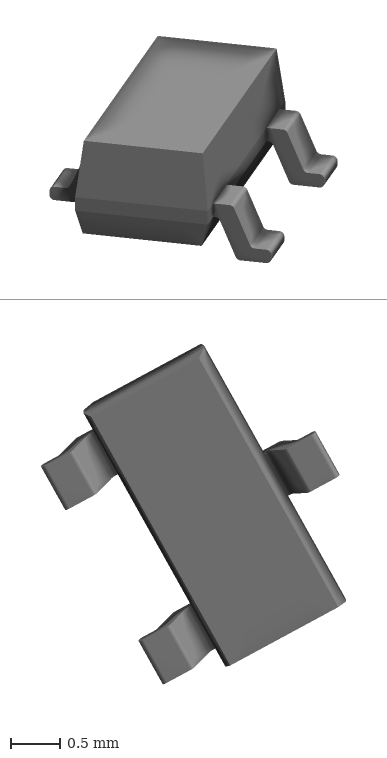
import cadquery as cq

housing_width = 1.398
housing_length = 3.0
housing_bottom = 0.195
belt_bottom = 0.45
belt_top = 0.6
housing_top = 1.2
top_inset = 0.072
bottom_inset_x = 0.072
bottom_inset_y = 0.03

lead_span = 2.62
lead_width = 0.51
lead_thickness = 0.147
lead_pair_offset = 1.03
shoulder_length = 0.207
slope_run = 0.195
sole_length = 0.36
bend_radius = 0.05

lead_root = housing_width / 2
lead_tip = lead_span / 2
lead_bottom = belt_bottom
lead_top = lead_bottom + lead_thickness

def frustum(start_size, start_z, end_size, end_z):
    """Loft between two centred rectangles at different heights."""
    return (
        cq.Workplane("XY", origin=(0, 0, start_z))
        .rect(*start_size)
        .workplane(offset=end_z - start_z)
        .rect(*end_size)
        .loft(ruled=True)
    )

def make_housing():
    """Moulded package body, narrowing away from its belt."""
    belt_size = (housing_width, housing_length)
    top_size = (housing_width - 2 * top_inset, housing_length - 2 * top_inset)
    bottom_size = (housing_width - 2 * bottom_inset_x, housing_length - 2 * bottom_inset_y)
    belt = cq.Workplane("XY", origin=(0, 0, belt_bottom)).rect(*belt_size).extrude(belt_top - belt_bottom)
    upper = frustum(belt_size, belt_top, top_size, housing_top)
    lower = frustum(bottom_size, housing_bottom, belt_size, belt_bottom)
    return belt.union(upper, clean=False).union(lower, clean=False)

def make_lead(side, center_y):
    """Bent lead leaving the belt toward +X (side = 1) or -X (side = -1)."""
    shoulder_x = lead_root + shoulder_length
    instep_x = shoulder_x + slope_run
    heel_x = lead_tip - sole_length
    armpit_x = heel_x - slope_run
    outline = [
        (lead_root, lead_top),
        (shoulder_x, lead_top),
        (instep_x, lead_thickness),
        (lead_tip, lead_thickness),
        (lead_tip, 0),
        (heel_x, 0),
        (armpit_x, lead_bottom),
        (lead_root, lead_bottom),
    ]
    lead = (
        cq.Workplane("XZ", origin=(0, center_y + lead_width / 2, 0))
        .polyline([(side * x, z) for x, z in outline])
        .close()
        .extrude(lead_width)
    )
    bends = [outline[1], outline[2], outline[3], outline[4], outline[5], outline[6]]
    return fillet_corners(lead, side, center_y, bends, bend_radius)

def fillet_corners(lead, side, center_y, corners, radius):
    """Round the lead edges that run along Y through the given outline corners."""
    for x, z in corners:
        corner = cq.selectors.NearestToPointSelector((side * x, center_y, z))
        lead = lead.edges("|Y").edges(corner).fillet(radius)
    return lead

housing = make_housing()
lead_places = [(-1, 0), (1, -lead_pair_offset), (1, lead_pair_offset)]
leads = [make_lead(side, center_y) for side, center_y in lead_places]

result = cq.Compound.makeCompound([housing.solids().val(), *[lead.val() for lead in leads]])